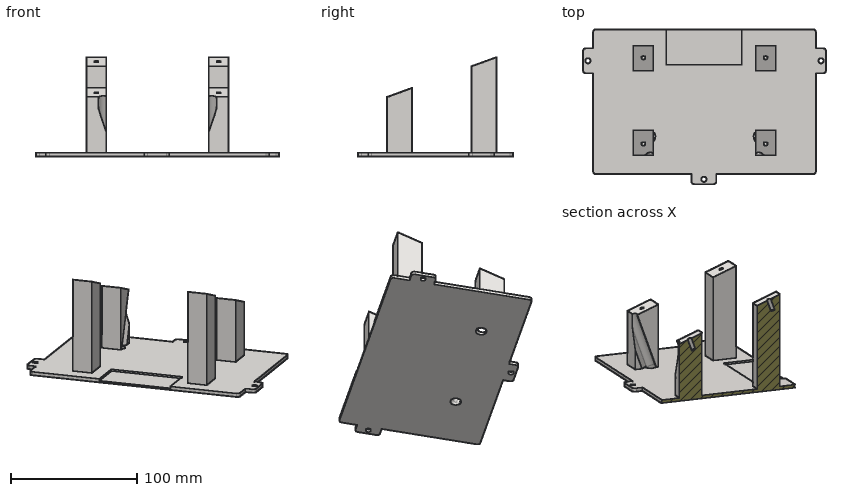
import cadquery as cq
import math

PLATE_WIDTH = 177.0
PLATE_DEPTH = 115.0
PLATE_THICKNESS = 3.0
CORNER_RADIUS = 2.5

TAB_REACH = 8.0
TAB_WIDTH = 20.0
TAB_HOLE_DIAMETER = 4.0
TAB_HOLE_EDGE_DISTANCE = 4.0
SIDE_TAB_BACK_OFFSET = 15.0
FRONT_TAB_CENTER_X = -0.5

RECESS_WIDTH = 60.0
RECESS_LENGTH = 28.0
RECESS_DEPTH = 1.5
RECESS_CENTER_X = -0.5

OVERALL_HEIGHT = 78.92
TOP_SLOPE = 20.0
POST_WIDTH = 16.0
POST_DEPTH = 20.0
POST_SPACING_X = 97.0
POST_SPACING_Y = 67.0
POST_BACK_OFFSET = 13.0

SCREW_HOLE_DIAMETER = 3.0
SCREW_HOLE_DEPTH = 10.0
BACK_SCREW_FROM_FRONT_FACE = 10.4
FRONT_SCREW_FROM_FRONT_FACE = 9.1

CHANNEL_DIAMETER = 8.0
CHANNEL_INSET = 2.5
CHANNEL_FROM_BACK_FACE = 5.5
CHANNEL_OPENING_ANGLE = 45.0
CHANNEL_OPENING_LENGTH = 15.0

SLOPE = math.tan(math.radians(TOP_SLOPE))
BACK_POST_REAR_Y = PLATE_DEPTH - POST_BACK_OFFSET
FRONT_POST_REAR_Y = BACK_POST_REAR_Y - POST_SPACING_Y
SCREW_YS = (
    BACK_POST_REAR_Y - POST_DEPTH + BACK_SCREW_FROM_FRONT_FACE,
    FRONT_POST_REAR_Y - POST_DEPTH + FRONT_SCREW_FROM_FRONT_FACE,
)
SIDES = (-1, 1)
FRONT_DIRECTION = -90.0
SLOPE_NORMAL = cq.Vector(0, -math.sin(math.radians(TOP_SLOPE)), math.cos(math.radians(TOP_SLOPE)))


def top_height(y):
    """Height of the sloping plane of the post tops at a given Y."""
    return OVERALL_HEIGHT - (BACK_POST_REAR_Y - y) * SLOPE


def make_tab(width, depth, x, y, outer_edges):
    """Flat tab centred at (x, y), rounded on the vertical edges that face outwards."""
    tab = cq.Workplane("XY").box(width, depth, PLATE_THICKNESS, centered=(True, True, False))
    return tab.faces(outer_edges).edges("|Z").fillet(CORNER_RADIUS).translate((x, y, 0))


def make_plate():
    """Rounded plate with three drilled tabs and the recess at the back."""
    plate = (
        cq.Workplane("XY")
        .box(PLATE_WIDTH, PLATE_DEPTH, PLATE_THICKNESS, centered=(True, False, False))
        .edges("|Z")
        .fillet(CORNER_RADIUS)
    )

    tab_length = 2 * TAB_REACH
    side_tab_y = PLATE_DEPTH - SIDE_TAB_BACK_OFFSET - TAB_WIDTH / 2
    for side, outer_edges in zip(SIDES, ("<X", ">X")):
        tab_x = side * PLATE_WIDTH / 2
        plate = plate.union(make_tab(tab_length, TAB_WIDTH, tab_x, side_tab_y, outer_edges))
    plate = plate.union(make_tab(TAB_WIDTH, tab_length, FRONT_TAB_CENTER_X, 0, "<Y"))

    hole_reach = TAB_REACH - TAB_HOLE_EDGE_DISTANCE
    hole_places = [(side * (PLATE_WIDTH / 2 + hole_reach), side_tab_y) for side in SIDES]
    hole_places.append((FRONT_TAB_CENTER_X, -hole_reach))
    holes = (
        cq.Workplane("XY")
        .pushPoints(hole_places)
        .circle(TAB_HOLE_DIAMETER / 2)
        .extrude(PLATE_THICKNESS)
    )

    recess = (
        cq.Workplane("XY")
        .box(RECESS_WIDTH, RECESS_LENGTH, RECESS_DEPTH, centered=(True, False, False))
        .translate((RECESS_CENTER_X, PLATE_DEPTH - RECESS_LENGTH, PLATE_THICKNESS - RECESS_DEPTH))
    )
    return plate.cut(holes).cut(recess)


def make_post(center_x, rear_y):
    """Rectangular post rising from the plate top to the sloping plane."""
    front_y = rear_y - POST_DEPTH
    profile = [
        (front_y, PLATE_THICKNESS),
        (rear_y, PLATE_THICKNESS),
        (rear_y, top_height(rear_y)),
        (front_y, top_height(front_y)),
    ]
    return (
        cq.Workplane("YZ", origin=(center_x - POST_WIDTH / 2, 0, 0))
        .polyline(profile)
        .close()
        .extrude(POST_WIDTH)
    )


def make_screw_hole(x, y):
    """Blind hole running down from the sloping top, square to it."""
    start = cq.Vector(x, y, top_height(y))
    return cq.Solid.makeCylinder(SCREW_HOLE_DIAMETER / 2, SCREW_HOLE_DEPTH, start, SLOPE_NORMAL * -1)


def channel_plane(side):
    """Work plane square to the channel axis, with its origin on the axis at the plate top."""
    x = side * (POST_SPACING_X / 2 - POST_WIDTH / 2 + CHANNEL_INSET)
    y = FRONT_POST_REAR_Y - CHANNEL_FROM_BACK_FACE
    return cq.Plane(origin=(x, y, PLATE_THICKNESS), xDir=(1, 0, 0), normal=SLOPE_NORMAL.toTuple())


def make_channel(side):
    """Slanted round cutter along the inner side of a front post, passing through the plate."""
    return (
        cq.Workplane(channel_plane(side))
        .circle(CHANNEL_DIAMETER / 2)
        .extrude(OVERALL_HEIGHT, both=True)
    )


def make_channel_opening(side):
    """Slanted slot from the channel axis out through the inner front corner of a post."""
    opening_direction = FRONT_DIRECTION - side * CHANNEL_OPENING_ANGLE
    return (
        cq.Workplane(channel_plane(side))
        .transformed(rotate=(0, 0, opening_direction))
        .rect(CHANNEL_OPENING_LENGTH, CHANNEL_DIAMETER, centered=(False, True))
        .extrude(OVERALL_HEIGHT, both=True)
    )


result = make_plate()
for side in SIDES:
    post_x = side * POST_SPACING_X / 2
    back_post = make_post(post_x, BACK_POST_REAR_Y)
    front_post = make_post(post_x, FRONT_POST_REAR_Y).cut(make_channel_opening(side))
    result = result.union(back_post).union(front_post).cut(make_channel(side))
    for screw_y in SCREW_YS:
        result = result.cut(make_screw_hole(post_x, screw_y))